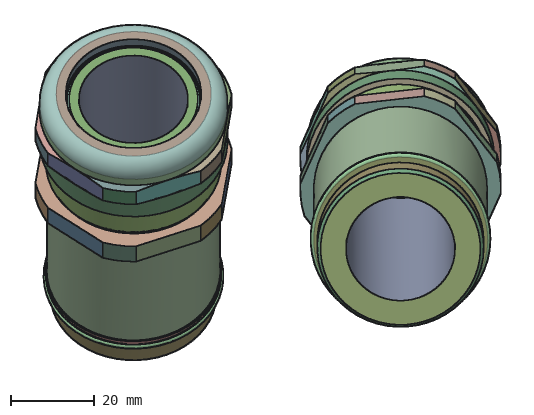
import cadquery as cq

ACROSS_FLATS = 45.0
ACROSS_CORNERS = 48.0
HEX_TURN = 30.0
FLAT_RADIUS = ACROSS_FLATS / 2
HEX_CORNER_RADIUS = ACROSS_CORNERS / 2

TOTAL_HEIGHT = 81.0
END_TOP = 6.4
BEAD_TOP = 8.6
COLLAR_TOP = 10.0
BODY_HEX_BOTTOM = 45.9
BODY_HEX_TOP = 52.1
NECK_BOTTOM = 52.9
CAP_BOTTOM = 62.0
CAP_HEX_BOTTOM = 68.4
CAP_HEX_TOP = 74.5

BORE_RADIUS = 13.05
TIP_RADIUS = 15.9
NECK_RADIUS = 21.1
BARREL_RADIUS = 20.7
END_RADIUS = 19.9

EDGE_CHAMFER = 0.8
NECK_GROOVE_RADIUS = NECK_RADIUS - EDGE_CHAMFER
END_GROOVE_RADIUS = END_RADIUS - EDGE_CHAMFER
BEAD_SECTION_RADIUS = 0.7
BEAD_BOTTOM = BEAD_TOP - 2 * BEAD_SECTION_RADIUS
BEAD_MIDDLE = BEAD_TOP - BEAD_SECTION_RADIUS
BEAD_OUTER_RADIUS = 21.55
BEAD_CENTRE_RADIUS = BEAD_OUTER_RADIUS - BEAD_SECTION_RADIUS
TIP_CHAMFER_WIDTH = 0.5
TIP_CHAMFER_HEIGHT = 0.25

CAP_RIM_FILLET = 4.0
CAP_OPENING_RADIUS = 16.2
CAP_OPENING_DEPTH = 2.5
CAP_FLOOR = TOTAL_HEIGHT - CAP_OPENING_DEPTH
TIP_TOP = CAP_FLOOR + TIP_CHAMFER_HEIGHT
HEX_CHAMFER_DROP = 0.6


def cylinder(radius, bottom, top):
    return cq.Workplane("XY").workplane(offset=bottom).circle(radius).extrude(top - bottom)


def rounded_hexagon(bottom, top):
    """Hexagonal collar with flats facing +Y and -Y and its corners turned round."""
    hexagon = (
        cq.Workplane("XY")
        .workplane(offset=bottom)
        .polygon(6, ACROSS_FLATS, circumscribed=True)
        .extrude(top - bottom)
        .rotate((0, 0, 0), (0, 0, 1), HEX_TURN)
    )
    return hexagon.intersect(cylinder(HEX_CORNER_RADIUS, bottom, top))


def make_cap():
    """Domed cap nut with a hexagon chamfered on both sides."""
    shell = cylinder(FLAT_RADIUS, CAP_BOTTOM, TOTAL_HEIGHT).faces(">Z").edges().fillet(CAP_RIM_FILLET)

    bevel_envelope = (
        cq.Workplane("XZ")
        .moveTo(0, CAP_HEX_BOTTOM)
        .lineTo(FLAT_RADIUS, CAP_HEX_BOTTOM)
        .lineTo(HEX_CORNER_RADIUS, CAP_HEX_BOTTOM + HEX_CHAMFER_DROP)
        .lineTo(HEX_CORNER_RADIUS, CAP_HEX_TOP - HEX_CHAMFER_DROP)
        .lineTo(FLAT_RADIUS, CAP_HEX_TOP)
        .lineTo(0, CAP_HEX_TOP)
        .close()
        .revolve(360, (0, 0, 0), (0, 1, 0))
    )
    hexagon = rounded_hexagon(CAP_HEX_BOTTOM, CAP_HEX_TOP).intersect(bevel_envelope)

    opening = cylinder(CAP_OPENING_RADIUS, CAP_FLOOR, TOTAL_HEIGHT)
    tip_hole = cylinder(TIP_RADIUS, CAP_BOTTOM, CAP_FLOOR)
    return shell.union(hexagon).cut(opening).cut(tip_hole)


def make_body():
    """Hollow body: turned profile with a hexagon around it."""
    turned = (
        cq.Workplane("XZ")
        .moveTo(BORE_RADIUS, 0)
        .lineTo(END_GROOVE_RADIUS, 0)
        .lineTo(END_RADIUS, EDGE_CHAMFER)
        .lineTo(END_RADIUS, END_TOP - EDGE_CHAMFER)
        .lineTo(END_GROOVE_RADIUS, END_TOP)
        .lineTo(END_GROOVE_RADIUS, BEAD_BOTTOM)
        .lineTo(BEAD_CENTRE_RADIUS, BEAD_BOTTOM)
        .threePointArc((BEAD_OUTER_RADIUS, BEAD_MIDDLE), (BEAD_CENTRE_RADIUS, BEAD_TOP))
        .lineTo(NECK_RADIUS, BEAD_TOP)
        .lineTo(NECK_RADIUS, COLLAR_TOP)
        .lineTo(BARREL_RADIUS, COLLAR_TOP)
        .lineTo(BARREL_RADIUS, BODY_HEX_BOTTOM)
        .lineTo(NECK_GROOVE_RADIUS, BODY_HEX_BOTTOM)
        .lineTo(NECK_GROOVE_RADIUS, NECK_BOTTOM)
        .lineTo(NECK_RADIUS, NECK_BOTTOM + EDGE_CHAMFER)
        .lineTo(NECK_RADIUS, CAP_BOTTOM)
        .lineTo(TIP_RADIUS, CAP_BOTTOM)
        .lineTo(TIP_RADIUS, CAP_FLOOR)
        .lineTo(TIP_RADIUS - TIP_CHAMFER_WIDTH, TIP_TOP)
        .lineTo(BORE_RADIUS, TIP_TOP)
        .close()
        .revolve(360, (0, 0, 0), (0, 1, 0))
    )
    bore = cylinder(BORE_RADIUS, BODY_HEX_BOTTOM, BODY_HEX_TOP)
    hexagon = rounded_hexagon(BODY_HEX_BOTTOM, BODY_HEX_TOP).cut(bore)
    return turned.union(hexagon)


cap = make_cap()
body = make_body()

result = cq.Compound.makeCompound([cap.val(), body.val()])